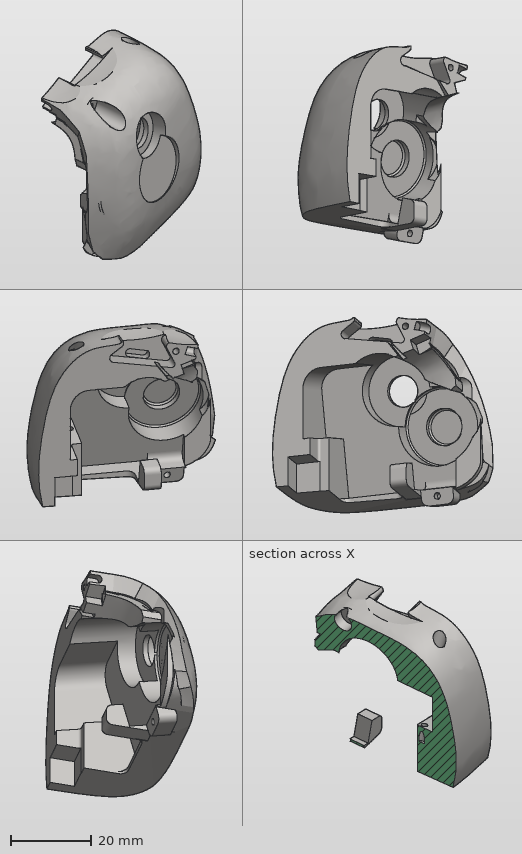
import cadquery as cq
import math

tilt = 15.0
tilt_sin = math.sin(math.radians(tilt))
tilt_cos = math.cos(math.radians(tilt))
length = 50.85
height = 45.5
width = 27.95
beyond = 10.15

tilted = cq.Plane(origin=(0, 0, 0), xDir=(0, 1, 0), normal=(tilt_cos, 0, tilt_sin))

shell_sections = [
    (2.05, 49.45, 26.6, (23.65, 0.6), -4.6),
    (7.6, 50.5, 27.65, (22.6, 0.25), -5.1),
    (13.7, length, width - 0.15, (21.35, 0.0), -5.1),
    (21.35, 50.1, 26.85, (20.5, 1.0), -4.05),
    (30.0, 48.4, 24.9, (18.65, 3.25), -1.0),
    (35.6, 46.35, 23.05, (16.75, 5.5), 2.3),
    (40.05, 43.35, 20.15, (13.0, 7.6), 6.1),
    (42.85, 40.15, 16.75, (9.15, 10.3), 9.75),
    (44.55, 35.75, 12.7, (6.1, 14.55), 14.25),
    (height, 29.5, 6.1, (2.55, 20.45), 20.35),
]
rim_stations = [
    ((-0.5, 9.75, 42.85), (-0.5, 10.65, 37.95)),
    ((6.1, 9.4, 42.15), (6.1, 10.45, 37.55)),
    ((13.0, 7.6, 40.05), (11.3, 9.45, 36.0)),
    ((16.7, 5.4, 35.55), (15.15, 6.7, 30.9)),
    ((19.5, 2.2, 26.7), (17.45, 4.35, 26.45)),
    ((21.35, -0.15, 15.2), (18.75, 2.1, 17.05)),
    ((22.35, 0.3, 9.65), (19.4, 2.0, 10.4)),
    ((23.9, 2.2, 6.5), (20.85, 3.8, 6.25)),
    ((26.95, 9.05, 3.3), (23.8, 8.65, 3.3)),
]
base_back_z = 3.45
base_slope = 1.7

wall = 21.45
floor_rise = -0.4
roof_rise = 32.3
roof_radius = 4.85
cavity_back = 42.7
cavity_front = 8.65
cavity_upper_front = 17.55
lip_rise = 23.9
ledge_rise = 14.75
ledge_front = 38.1

hook_x, hook_base = 6.4, 2.45
hook_front, hook_back = 17.6, 21.95
tab_axis = (17.25, 22.15)
tab_y = (9.05, hook_front)

rear_dial_y, rear_dial_rise = 23.15, 25.25
front_dial_y, front_dial_rise = 13.4, 15.3


def prism_x(outline, x_start, x_end):
    """Extrude a closed (y, z) polygon along X."""
    sketch = cq.Workplane("YZ", origin=(x_start, 0, 0)).polyline(outline).close()
    return sketch.extrude(x_end - x_start)


def prism_y(outline, y_start, y_end):
    """Extrude a closed (x, z) polygon along Y."""
    sketch = cq.Workplane("XZ", origin=(0, y_start, 0)).polyline(outline).close()
    return sketch.extrude(y_start - y_end)


def block(x_range, y_range, z_range):
    """Axis-aligned box between pairs of limits."""
    sizes = [limits[1] - limits[0] for limits in (x_range, y_range, z_range)]
    corner = (x_range[0], y_range[0], z_range[0])
    return cq.Workplane("XY").box(*sizes, centered=False).translate(corner)


def tilted_block(axis_range, y_range, rise_range):
    """Box aligned with the tilted frame."""
    sketch = cq.Workplane(tilted).workplane(offset=axis_range[0])
    sketch = sketch.center(sum(y_range) / 2, sum(rise_range) / 2)
    sketch = sketch.rect(y_range[1] - y_range[0], rise_range[1] - rise_range[0])
    return sketch.extrude(axis_range[1] - axis_range[0])


def tilted_bore(y, rise, radius, axis_start, axis_end):
    """Cylinder along the tilted bore axis."""
    sketch = cq.Workplane(tilted).workplane(offset=axis_start).center(y, rise)
    return sketch.circle(radius).extrude(axis_end - axis_start)


def shell_section(z, back, side, rim, front):
    """Closed wire of the shell at one height: a rounded outline closed along the middle plane."""
    depth = back - rim[1]
    outline = [
        (0, back),
        (0.4 * side, back - 0.008 * depth),
        (0.7 * side, back - 0.044 * depth),
        (0.89 * side, back - 0.135 * depth),
        (0.98 * side, back - 0.3 * depth),
        (side, rim[1] + 0.37 * depth),
        (0.78 * side + 0.22 * max(rim[0], 0.8 * side), rim[1] + 0.136 * depth),
        rim,
        (0, front),
    ]
    points = [cq.Vector(x, y, z) for x, y in outline]
    rounded = cq.Edge.makeSpline(points, tangents=[cq.Vector(1, 0, 0), cq.Vector(-1, 0, 0)])
    return cq.Wire.assembleEdges([rounded, cq.Edge.makeLine(points[-1], points[0])])


def rim_section(outer, inner):
    """Flat four-sided wire: the bevel, run slightly past its outer edge, and the space ahead of it."""
    overrun = 0.4
    inward = 0.6
    outer = [a + overrun * (a - b) for a, b in zip(outer, inner)]
    ahead_inner = [b - inward * (a - b) for a, b in zip(outer, inner)]
    corners = [outer, inner, (ahead_inner[0], -beyond, ahead_inner[2]), (outer[0], -beyond, outer[2])]
    return cq.Wire.makePolygon([cq.Vector(*corner) for corner in corners], close=True)


def nose_wire(curve, x):
    """Closed (y, z) outline of the space in front of and below a nose curve."""
    wire = cq.Workplane("YZ", origin=(x, 0, 0)).moveTo(*curve[0]).spline(curve[1:], includeCurrent=True)
    wire = wire.lineTo(17.3, 3.05).lineTo(17.3, -beyond).lineTo(-beyond, -beyond).lineTo(-beyond, curve[0][1])
    return wire.close()


def make_shell():
    wires = [shell_section(*section) for section in shell_sections]
    shell = cq.Workplane(cq.Solid.makeLoft(wires))
    base_drop = math.tan(math.radians(base_slope)) * (length + beyond)
    below_base = [
        (length, base_back_z),
        (-beyond, base_back_z - base_drop),
        (-beyond, -beyond),
        (length, -beyond),
    ]
    shell = shell.cut(prism_x(below_base, -0.5, width + 0.5))
    side_base = prism_y([(17.3, 2.45), (28.45, 3.45), (28.45, -beyond), (17.3, -beyond)], -beyond, length)
    shell = shell.cut(side_base)
    outer_nose = [(-0.05, 12.2), (0.45, 9.15), (2.95, 5.55), (6.35, 4.3), (9.15, 3.75)]
    inner_nose = [(2.0, 12.2), (2.35, 8.9), (4.6, 5.9), (6.85, 4.45), (9.15, 3.75)]
    shell = shell.cut(nose_wire(inner_nose, -0.5).toPending().extrude(19.8))
    shell = shell.cut(nose_wire(outer_nose, 18.8).toPending().extrude(width))
    rim_wires = [rim_section(*station) for station in rim_stations]
    return shell.cut(cq.Workplane(cq.Solid.makeLoft(rim_wires, True)))


def make_cavity():
    """Main cavity, stepped over the ledge at the back and sloping under the lip at the front."""
    outline = (
        cq.Workplane(tilted).workplane(offset=-beyond)
        .moveTo(cavity_front, floor_rise).lineTo(cavity_front, lip_rise).lineTo(13.5, 26.45)
        .lineTo(cavity_upper_front, 29.5).lineTo(cavity_upper_front, roof_rise)
        .lineTo(cavity_back - roof_radius, roof_rise)
        .radiusArc((cavity_back, roof_rise - roof_radius), roof_radius)
        .lineTo(cavity_back, ledge_rise).lineTo(ledge_front, ledge_rise)
        .lineTo(ledge_front, floor_rise).close()
    )
    return outline.extrude(wall + beyond)


def make_bores():
    rear_hole_start, front_end = 26.35, 27.45
    rear = (rear_dial_y, rear_dial_rise)
    front = (front_dial_y, front_dial_rise)
    parts = [
        tilted_bore(*rear, 8.95, -beyond, rear_hole_start),
        tilted_bore(*rear, 3.95, rear_hole_start, 30.5),
        tilted_bore(*rear, 5.95, 27.7, 35.6),
        tilted_bore(rear_dial_y, 14.9, 8.55, 30.2, 40.65),
        tilted_bore(*front, 9.95, -beyond, front_end).faces(">X").chamfer(0.4),
        tilted_bore(*front, 4.7, front_end - 0.5, front_end + 2.05).faces(">X").chamfer(0.45),
    ]
    parts.append(tilted_bore(8.15, 16.25, 6.1, 17.8, 24.4))
    bores = parts[0]
    for part in parts[1:]:
        bores = bores.union(part)
    return bores


def make_front_opening():
    recess_outline = (
        cq.Workplane("XZ", origin=(0, -beyond, 0))
        .moveTo(-0.5, -beyond).lineTo(17.9, -beyond).lineTo(17.9, 20.35).lineTo(18.05, 21.85).lineTo(17.6, 25.4).lineTo(17.6, 30)
        .radiusArc((15.55, 32), -2.05).lineTo(15.3, 31)
        .spline([(11.45, 36.2), (6.1, 37.8), (-0.5, 38.15)], includeCurrent=True).close()
    )
    recess = recess_outline.extrude(-30.5)
    ahead_of_lip = [(-beyond, -beyond), (cavity_front, -beyond), (cavity_front, 24.4), (7.95, 28.2),
                    (6.75, 29.1), (6.75, 31.15), (10.65, 37.95), (10.65, height), (-beyond, height)]
    recess = recess.intersect(prism_x(ahead_of_lip, -beyond, width))
    slope = 17.0
    lip_plane = cq.Plane(origin=(0, 8.15, 0), xDir=(1, 0, 0),
                         normal=(0, -math.cos(math.radians(slope)), math.sin(math.radians(slope))))
    z_scale = math.cos(math.radians(slope))
    passage = (
        cq.Workplane(lip_plane).workplane(offset=15.25)
        .moveTo(-0.5, 15.25).lineTo(12.85, 15.25).lineTo(12.85, 28.45 * z_scale)
        .spline([(12.4, 30.4 * z_scale), (8.95, 35.3 * z_scale), (4.05, 36.8 * z_scale), (-0.5, 37.1 * z_scale)],
                includeCurrent=True)
        .close().extrude(-15.25)
    )
    side_outline = [(-0.5, -beyond), (19.3, -beyond), (19.3, 12.2), (18.75, 17.3), (18.0, 23.4), (17.6, 30.5), (-0.5, 30.5)]
    side_clearance = prism_y(side_outline, -beyond, 2.05)
    return recess, passage, side_clearance


def make_base_openings():
    """Cutters that open the thin floor from below."""
    floor_slot = block((-0.5, 17.3), (hook_back, ledge_front), (-beyond, 5.6))
    floor_slot = floor_slot.edges("|Z and >X").fillet(2.05)
    hook_gap = block((-0.5, 12.2), (hook_front, hook_back), (-beyond, 5.6))
    tab_gap = tilted_block((-beyond, tab_axis[0]), (cavity_front, hook_front), (-beyond, 2.55))
    return [floor_slot, hook_gap, tab_gap]


def make_back_block_openings():
    """Notch in the ledge block, a pocket open at its underside, and a screw hole in its top."""
    block_side = 6.35
    notch = block((-0.5, block_side), (ledge_front - 0.5, 40.85), (-beyond, 25.4))
    notch = notch.edges("|Z and >X and >Y").fillet(0.7)
    pocket = block((-0.5, block_side - 0.1), (39.8, 46.65), (-beyond, 10.95))
    screw_hole = (
        cq.Workplane(cq.Plane(origin=(0, 0, 0), xDir=(tilt_cos, 0, tilt_sin), normal=(-tilt_sin, 0, tilt_cos)))
        .workplane(offset=ledge_rise - 5.1).center(17.2, 39.5).circle(0.8).extrude(5.6)
    )
    return [notch, pocket, screw_hole]


def make_hook():
    """Block on the floor edge, its inner side parallel to the cavity wall."""
    hook_axis, hook_top = 12.7, 6.2
    outline = block((hook_x, 20.35), (hook_front, hook_back), (hook_base, 15.25))
    outline = outline.intersect(tilted_block((-beyond, hook_axis), (0, length), (-beyond, hook_top)))
    outline = outline.edges("|Y and <X").edges(">Z").fillet(1.8)
    foot = block((hook_x, 18.3), (hook_front, hook_back), (hook_base, 7.6))
    foot = foot.intersect(tilted_block((-beyond, wall), (0, length), (-beyond, floor_rise)))
    return outline.union(foot).edges("|Y and <X and <Z").fillet(1.5)


def make_tab():
    """Hinge tab hanging below the floor, and the cutter for its small blind hole."""
    lowest = -tab_axis[0] * math.tan(math.radians(tilt))
    corner = 1.85
    start, end = tab_y
    tab = (
        cq.Workplane(tilted).workplane(offset=tab_axis[0])
        .moveTo(start, floor_rise).lineTo(start, lowest + corner)
        .radiusArc((start + corner, lowest), -corner).lineTo(end - corner, lowest)
        .radiusArc((end, lowest + corner), -corner).lineTo(end, floor_rise).close()
        .extrude(tab_axis[1] - tab_axis[0])
    )
    hollow = 2.05
    corner_fill = (
        tilted_block((wall - hollow, wall + 0.5), (cavity_front, hook_front), (floor_rise - 0.5, floor_rise + hollow))
        .cut(
            cq.Workplane(cq.Plane(origin=(0, cavity_front, 0), xDir=(tilt_cos, 0, tilt_sin), normal=(0, 1, 0)))
            .center(wall - hollow, -(floor_rise + hollow)).circle(hollow).extrude(beyond)
        )
    )
    hole = tilted_bore((start + end) / 2, -2.35, 0.8, tab_axis[0] - 0.5, tab_axis[0] + 2.55)
    return tab.union(corner_fill), hole


def make_button_slot():
    """Slot across the middle of the top, with a pill-shaped recess in its side wall."""
    slot_side = 5.1
    outline = (
        cq.Workplane("YZ", origin=(-0.5, 0, 0))
        .moveTo(28.95, height + 0.5).lineTo(28.95, 44.75).lineTo(29.35, 44.3).lineTo(32.2, 42.35)
        .threePointArc((32.55, 41.5), (31.35, 40.25)).lineTo(17.05, 37.55)
        .threePointArc((15.85, 37.85), (15.85, 38.85)).lineTo(17.65, 42.45)
        .threePointArc((17.85, 43.5), (16.95, 44.3)).lineTo(16.95, height + 0.5).close()
    )
    slot = outline.extrude(slot_side + 0.5)
    pill_slope = math.degrees(math.atan2(1.7, 8.0))
    pill = (
        cq.Workplane("YZ", origin=(slot_side - 0.5, 24.05, 40.05))
        .transformed(rotate=(0, 0, pill_slope)).slot2D(6.3, 2.15).extrude(3.05)
    )
    slit = prism_x([(20.6, 38.65), (19.3, 38.65), (19.4, 38.0), (15.75, 34.0), (16.75, 33.55)], -0.5, 3.05)
    return [slot, pill, slit]


def make_front_pockets():
    """Square pocket and round-ended channel at the front of the middle plane."""
    pocket = prism_x([(14.15, 37.95), (9.15, 39.6), (8.05, 37.0), (13.2, 35.2), (13.35, 35.6)], -0.5, 4.05)
    channel_slope = 17.0
    slope = math.radians(channel_slope)
    channel_plane = cq.Plane(origin=(0, 12.8, 41.7), xDir=(1, 0, 0), normal=(0, -math.cos(slope), -math.sin(slope)))
    channel = cq.Workplane(channel_plane).slot2D(6.1, 2.15).extrude(beyond)
    return [pocket, channel]


def make_top_holes():
    """Cross bore with its counterbore, and the angled blind hole near the back."""
    cross_y, cross_z = 15.45, 41.75
    cross = cq.Workplane("YZ", origin=(-0.5, cross_y, cross_z)).circle(0.8).extrude(width)
    counterbore = cq.Workplane("YZ", origin=(11.2, cross_y, cross_z)).circle(2.55).extrude(width)
    lean = math.radians(60)
    hole_plane = cq.Plane(origin=(6.4, 39.5, 42.85), xDir=(0, 1, 0), normal=(-math.cos(lean), 0, math.sin(lean)))
    hole = cq.Workplane(hole_plane).workplane(offset=-3.05).circle(1.75).extrude(beyond)
    return [cross, counterbore, hole]


def make_thumb_dishes():
    """Shallow dishes in the top: one around the slot, one ahead of it."""
    dish_radius = 40.65
    dish = cq.Workplane("XY").sphere(dish_radius).translate((0, 24.9, 43.5 + dish_radius))
    dish = dish.cut(block((-0.5, 5.1), (28.95, length), (0, 50.85)))
    lean = math.radians(9)
    front_radius = 35.6
    center = (0, 13.45 - front_radius * math.sin(lean), 43.35 + front_radius * math.cos(lean))
    front_dish = cq.Workplane("XY").sphere(front_radius).translate(center)
    return [dish, front_dish]


def build():
    part = make_shell().cut(make_cavity()).cut(make_bores())
    for cutter in (
        *make_front_opening(),
        *make_base_openings(),
        *make_back_block_openings(),
        *make_button_slot(),
        *make_front_pockets(),
        *make_top_holes(),
        *make_thumb_dishes(),
    ):
        part = part.cut(cutter)
    tab, tab_hole = make_tab()
    return part.union(make_hook()).union(tab).cut(tab_hole)


result = build()